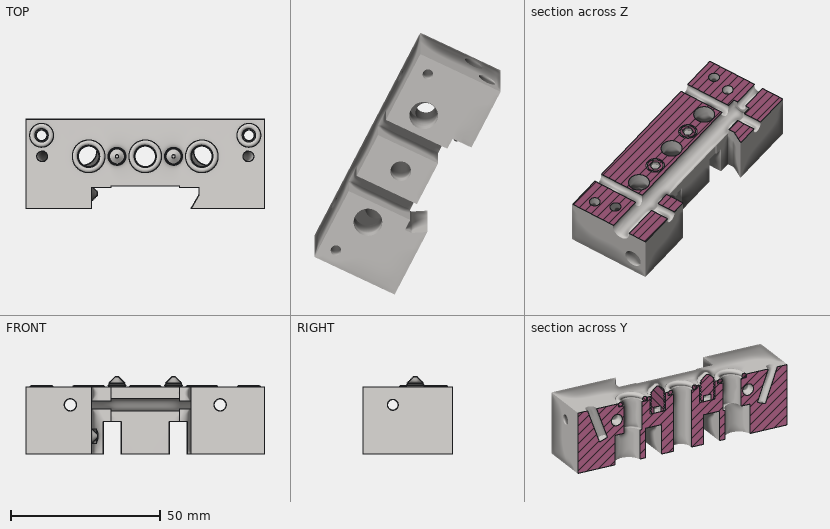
import cadquery as cq
import math


length = 80.0
depth = 30.0
height = 22.5

notch_half_width = 18.0
notch_depth = 7.0
dovetail_start = 4.6
dovetail_angle = 30.0
relief_half_width = 11.4
relief_depth = 7.5

slot_spacing = 22.1
slot_width = 6.0
slot_height = 10.9

cross_height = 16.5
cross_spacing = 50.2
cross_diameter = 4.0
bore_y = 10.0
bore_diameter = 6.5
bore_end_x = 30.0
bore_exit_diameter = 3.5

port_row_y = 17.5
port_spacing = 19.0
large_port_diameter = 6.9
small_port_diameter = 3.5
small_port_x = 34.7
small_port_y = 24.6

ring_protrusion = 0.5
large_ring_outer_diameter = 11.0
small_ring_outer_diameter = 8.0
cord_diameter = 1.8
gland_floor_z = height + ring_protrusion - cord_diameter

passage_diameter = 9.6
passage_shift_out = 2.1
passage_shift_back = 1.8
passage_height = slot_height

pin_hole_x = 34.6
pin_hole_diameter = 3.4
pin_hole_lean = 20.0
pin_hole_length = 12.8

thread_diameter = 6.0
thread_pitch = 1.0
thread_height = 0.52
first_crest = 1.9
screw_length = 10.0
tip_radius = 0.6
screw_end_radius = 2.3
hex_across_flats = 3.0
hex_depth = 2.0
screw_protrusion = 3.4
clamp_screw_tip_x = -16.0
clamp_screw_y = 5.0
clamp_screw_z = 6.0

clamp_hole_radius = 3.1
clamp_hole_end_x = -16.4
drill_half_angle = 60.0

middle_port_places = [(0, port_row_y)]
outer_port_places = [(side * port_spacing, port_row_y) for side in (-1, 1)]
small_port_places = [(side * small_port_x, small_port_y) for side in (-1, 1)]
upright_screw_places = [(side * port_spacing / 2, port_row_y) for side in (-1, 1)]


def x_cylinder(diameter, start, end, y, z):
    """Cylinder along X from one X position to another."""
    return cq.Workplane("YZ", origin=(start, y, z)).circle(diameter / 2).extrude(end - start)


def notch():
    """Front notch with its dovetailed right wall and relieved back wall."""
    lip_x = notch_half_width - dovetail_start * math.tan(math.radians(dovetail_angle))
    main = (
        cq.Workplane("XY")
        .polyline([
            (-notch_half_width, 0),
            (-notch_half_width, notch_depth),
            (notch_half_width, notch_depth),
            (notch_half_width, dovetail_start),
            (lip_x, 0),
        ])
        .close()
        .extrude(height)
    )
    relief = cq.Workplane("XY").rect(2 * relief_half_width, 2 * relief_depth).extrude(height)
    relief = relief.intersect(cq.Workplane("XY").box(length, depth, height, centered=(True, False, False)))
    return main.union(relief)


def underside_slots():
    """Two slots that cross the whole depth."""
    return (
        cq.Workplane("XY", origin=(0, depth / 2, 0))
        .pushPoints([(side * slot_spacing / 2, 0) for side in (-1, 1)])
        .rect(slot_width, depth)
        .extrude(slot_height)
    )


def cross_holes():
    """Two holes from the front face to the back face."""
    return (
        cq.Workplane("XZ", origin=(0, 0, cross_height))
        .pushPoints([(side * cross_spacing / 2, 0) for side in (-1, 1)])
        .circle(cross_diameter / 2)
        .extrude(-depth)
    )


def lengthwise_bore():
    """Bore from the left end that passes the notch, with a narrower exit to the right end."""
    wide = x_cylinder(bore_diameter, -length / 2, bore_end_x, bore_y, cross_height)
    narrow = x_cylinder(bore_exit_diameter, bore_end_x, length / 2, bore_y, cross_height)
    return wide.union(narrow)


def ports(places, diameter, floor_z, ring_outer_diameter):
    """Vertical holes from the top face down to floor_z, each with an O-ring gland at its mouth."""
    holes = (
        cq.Workplane("XY", origin=(0, 0, floor_z))
        .pushPoints(places)
        .circle(diameter / 2)
        .extrude(height - floor_z)
    )
    glands = (
        cq.Workplane("XY", origin=(0, 0, gland_floor_z))
        .pushPoints(places)
        .circle(ring_outer_diameter / 2)
        .extrude(height - gland_floor_z)
    )
    return holes.union(glands)


def offset_passages():
    """Holes from the underside, set outwards and back from the outer large ports they open into."""
    passage_x = port_spacing + passage_shift_out
    return (
        cq.Workplane("XY")
        .pushPoints([(side * passage_x, port_row_y + passage_shift_back) for side in (-1, 1)])
        .circle(passage_diameter / 2)
        .extrude(passage_height)
    )


def pin_hole(side):
    """Blind hole that leans towards the middle of the block as it goes down."""
    lean = math.radians(pin_hole_lean)
    down = cq.Vector(-side * math.sin(lean), 0, -math.cos(lean))
    mouth = cq.Vector(side * pin_hole_x, port_row_y, height)
    overrun = pin_hole_diameter
    return cq.Workplane(
        cq.Solid.makeCylinder(
            pin_hole_diameter / 2, pin_hole_length + overrun, mouth - down * overrun, down
        )
    )


def clamp_hole():
    """Hole from the left end that breaks into the notch and ends in a drill point."""
    point_length = clamp_hole_radius / math.tan(math.radians(drill_half_angle))
    return (
        cq.Workplane("XY", origin=(0, clamp_screw_y, clamp_screw_z))
        .polyline([
            (-length / 2, 0),
            (-length / 2, clamp_hole_radius),
            (clamp_hole_end_x, clamp_hole_radius),
            (clamp_hole_end_x + point_length, 0),
        ])
        .close()
        .revolve(360, (0, 0, 0), (1, 0, 0))
    )


def upright_screw_holes():
    """Blind holes that end level with the upright screws."""
    hole_depth = screw_length - screw_protrusion
    return (
        cq.Workplane("XY", origin=(0, 0, height - hole_depth))
        .pushPoints(upright_screw_places)
        .circle(thread_diameter / 2)
        .extrude(hole_depth)
    )


def make_block():
    block = cq.Workplane("XY").box(length, depth, height, centered=(True, False, False))
    cutters = [
        notch(),
        underside_slots(),
        cross_holes(),
        lengthwise_bore(),
        ports(middle_port_places, large_port_diameter, 0, large_ring_outer_diameter),
        ports(outer_port_places, large_port_diameter, passage_height, large_ring_outer_diameter),
        ports(small_port_places, small_port_diameter, 0, small_ring_outer_diameter),
        offset_passages(),
        pin_hole(-1),
        pin_hole(1),
        clamp_hole(),
        upright_screw_holes(),
    ]
    for cutter in cutters:
        block = block.cut(cutter)
    return block


def make_o_ring(place, outer_diameter):
    """O-ring that rests on the floor of its gland and stands proud of the top face."""
    cord_radius = cord_diameter / 2
    centre = cq.Vector(*place, gland_floor_z + cord_radius)
    return cq.Solid.makeTorus(outer_diameter / 2 - cord_radius, cord_radius, centre)


def make_cone_screw():
    """Set screw with its tip at the origin and its body below it."""
    crest_radius = thread_diameter / 2
    root_radius = crest_radius - thread_height

    ridge_count = math.ceil((screw_length - first_crest) / thread_pitch)
    rod_outline = [(0, 0), (root_radius, 0), (root_radius, -first_crest + thread_pitch / 2)]
    for ridge in range(ridge_count):
        crest_z = -first_crest - ridge * thread_pitch
        rod_outline += [(crest_radius, crest_z), (root_radius, crest_z - thread_pitch / 2)]
    rod_outline.append((0, rod_outline[-1][1]))
    rod = cq.Workplane("XZ").polyline(rod_outline).close().revolve(360, (0, 0, 0), (0, 1, 0))

    envelope = (
        cq.Workplane("XZ")
        .polyline([
            (0, 0),
            (tip_radius, 0),
            (crest_radius, tip_radius - crest_radius),
            (crest_radius, crest_radius - screw_end_radius - screw_length),
            (screw_end_radius, -screw_length),
            (0, -screw_length),
        ])
        .close()
        .revolve(360, (0, 0, 0), (0, 1, 0))
    )

    hex_corner_diameter = hex_across_flats / math.cos(math.pi / 6)
    socket = (
        cq.Workplane("XY", origin=(0, 0, -screw_length)).polygon(6, hex_corner_diameter).extrude(hex_depth)
    )
    return rod.intersect(envelope).cut(socket)


block = make_block()
o_rings = [
    make_o_ring(place, large_ring_outer_diameter)
    for place in middle_port_places + outer_port_places
]
o_rings += [make_o_ring(place, small_ring_outer_diameter) for place in small_port_places]

cone_screw = make_cone_screw()
upright_screws = [
    cone_screw.translate((x, y, height + screw_protrusion)).val() for x, y in upright_screw_places
]
clamp_screw = cone_screw.rotate((0, 0, 0), (0, 1, 0), 90).translate(
    (clamp_screw_tip_x, clamp_screw_y, clamp_screw_z)
)

result = cq.Compound.makeCompound([block.val(), *o_rings, *upright_screws, clamp_screw.val()])